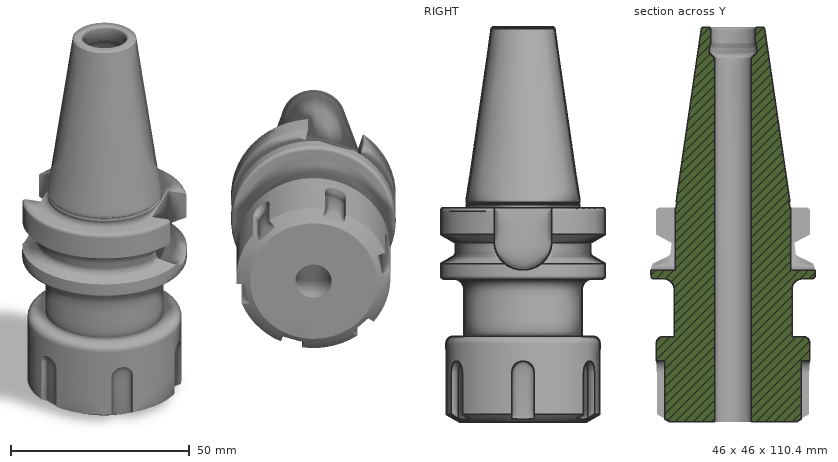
import cadquery as cq
import math

total_height = 110.4
flange_top = 60.0
flange_bottom = 40.0
nut_top = 24.0

taper_ratio = 7 / 24
gauge_radius = 15.9
gauge_height = 62.0
relief_depth = 0.2
relief_top = 61.5
relief_bottom = 60.7
taper_tip_radius = gauge_radius - (total_height - gauge_height) * taper_ratio / 2
tip_chamfer = 0.4

groove_flank_angle = math.radians(30)
flange_radius = 23.02
flange_fillet = 1.0
groove_floor_radius = 19.0
groove_top = 52.4
groove_bottom = 44.3
groove_flank_rise = (flange_radius - groove_floor_radius) * math.tan(groove_flank_angle)
groove_fillet = 0.9

keyway_count = 2
keyway_width = 16.1
keyway_floor = 16.2
keyway_bottom = 42.5

neck_radius = 16.6
neck_fillet = 2.8
nut_radius = 21.5
nut_fillet = 2.0
nut_chamfer_height = 2.2
nut_chamfer_angle = math.radians(30)
nut_chamfer_width = nut_chamfer_height / math.tan(nut_chamfer_angle)

cutter_overrun = 1.1

slot_count = 6
slot_width = 6.2
slot_top = 17.0
slot_floor = 19.1

bore_radius = 5.1
counterbore_radius = 6.2
mouth_fillet = 0.8
undercut_radius = 6.6
undercut_start_depth = 4.4
undercut_full_depth = 5.7
undercut_end_depth = 7.2
seat_depth = 7.6
seat_height = counterbore_radius - bore_radius

ARC_INSET = 1 - math.sqrt(0.5)


def make_body():
    """Revolved outside shape: nut, neck, flange and taper."""
    groove_corner = groove_bottom + groove_flank_rise
    groove_turn_angle = math.radians(90) - groove_flank_angle
    fillet_setback = groove_fillet * math.tan(groove_turn_angle / 2)

    profile = (
        cq.Workplane("XZ")
        .lineTo(nut_radius - nut_chamfer_width, 0)
        .lineTo(nut_radius, nut_chamfer_height)
        .lineTo(nut_radius, nut_top - nut_fillet)
        .threePointArc(
            (nut_radius - nut_fillet * ARC_INSET, nut_top - nut_fillet * ARC_INSET),
            (nut_radius - nut_fillet, nut_top),
        )
        .lineTo(neck_radius, nut_top)
        .lineTo(neck_radius, flange_bottom - neck_fillet)
        .threePointArc(
            (neck_radius + neck_fillet * ARC_INSET, flange_bottom - neck_fillet * ARC_INSET),
            (neck_radius + neck_fillet, flange_bottom),
        )
        .lineTo(flange_radius - flange_fillet, flange_bottom)
        .threePointArc(
            (flange_radius - flange_fillet * ARC_INSET, flange_bottom + flange_fillet * ARC_INSET),
            (flange_radius, flange_bottom + flange_fillet),
        )
        .lineTo(flange_radius, groove_bottom)
        .lineTo(
            groove_floor_radius + fillet_setback * math.cos(groove_flank_angle),
            groove_corner - fillet_setback * math.sin(groove_flank_angle),
        )
        .tangentArcPoint((groove_floor_radius, groove_corner + fillet_setback), relative=False)
        .lineTo(groove_floor_radius, groove_top - groove_flank_rise)
        .lineTo(flange_radius, groove_top)
        .lineTo(flange_radius, flange_top - flange_fillet)
        .threePointArc(
            (flange_radius - flange_fillet * ARC_INSET, flange_top - flange_fillet * ARC_INSET),
            (flange_radius - flange_fillet, flange_top),
        )
        .lineTo(gauge_radius, flange_top)
        .lineTo(gauge_radius, relief_bottom)
        .lineTo(gauge_radius - relief_depth, relief_bottom + relief_depth)
        .lineTo(gauge_radius - relief_depth, relief_top - relief_depth)
        .lineTo(gauge_radius, relief_top)
        .lineTo(gauge_radius, gauge_height)
        .lineTo(taper_tip_radius + tip_chamfer * taper_ratio / 2, total_height - tip_chamfer)
        .lineTo(taper_tip_radius - tip_chamfer, total_height)
        .lineTo(0, total_height)
        .close()
    )
    return profile.revolve(360, (0, 0, 0), (0, 1, 0))


def make_bore():
    """Through bore and undercut counterbore as one revolved cutter."""
    profile = (
        cq.Workplane("XZ")
        .lineTo(bore_radius, 0)
        .lineTo(bore_radius, total_height - seat_depth - seat_height)
        .lineTo(counterbore_radius, total_height - seat_depth)
        .lineTo(undercut_radius, total_height - undercut_end_depth)
        .lineTo(undercut_radius, total_height - undercut_full_depth)
        .lineTo(counterbore_radius, total_height - undercut_start_depth)
        .lineTo(counterbore_radius, total_height - mouth_fillet)
        .threePointArc(
            (counterbore_radius + mouth_fillet * ARC_INSET, total_height - mouth_fillet * ARC_INSET),
            (counterbore_radius + mouth_fillet, total_height),
        )
        .lineTo(0, total_height)
        .close()
    )
    return profile.revolve(360, (0, 0, 0), (0, 1, 0))


def round_ended_cutter(width, straight_end, round_end, floor, reach):
    """Cutter on the +X side, from the floor plane out to reach, with one rounded end."""
    radius = width / 2
    toward_round = math.copysign(radius, round_end - straight_end)
    spring = round_end - toward_round
    return (
        cq.Workplane("YZ", origin=(floor, 0, 0))
        .moveTo(-radius, straight_end)
        .lineTo(-radius, spring)
        .threePointArc((0, round_end), (radius, spring))
        .lineTo(radius, straight_end)
        .close()
        .extrude(reach - floor)
    )


def cut_around(body, cutter, count):
    """Cut evenly spaced copies of the cutter around the Z axis."""
    for index in range(count):
        body = body.cut(cutter.rotate((0, 0, 0), (0, 0, 1), index * 360 / count))
    return body


keyway_cutter = round_ended_cutter(
    keyway_width, flange_top, keyway_bottom, keyway_floor, flange_radius + cutter_overrun
)
slot_cutter = round_ended_cutter(slot_width, 0, slot_top, slot_floor, nut_radius + cutter_overrun)

result = make_body().cut(make_bore())
result = cut_around(result, keyway_cutter, keyway_count)
result = cut_around(result, slot_cutter, slot_count)